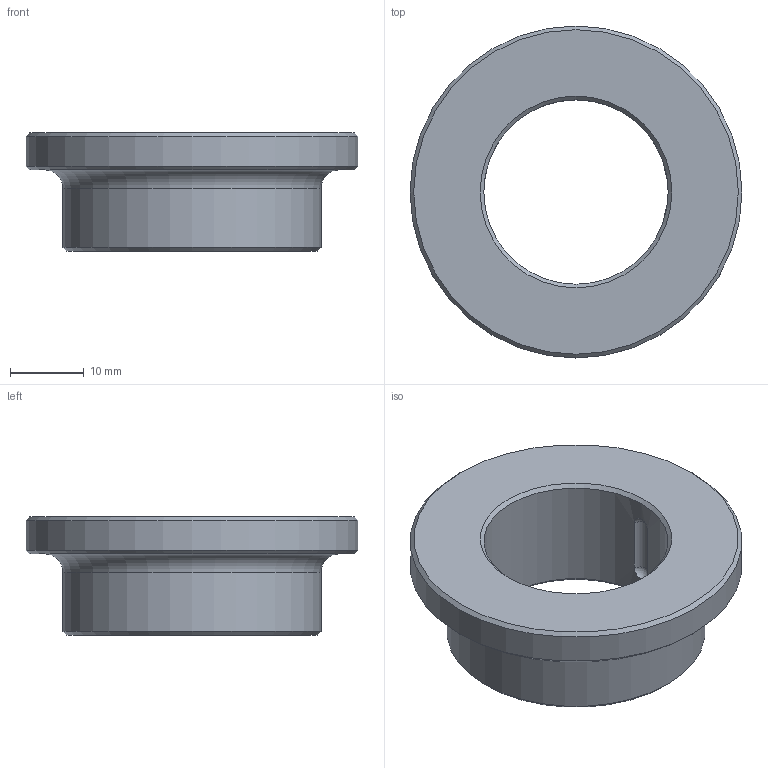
import cadquery as cq
import math

flange_diameter = 45.0
sleeve_diameter = 35.0
bore_diameter = 25.0
total_height = 16.0
flange_thickness = 5.0
edge_chamfer = 0.5
neck_fillet_radius = 2.5

groove_diameter = 2.5
groove_depth = 1.0
groove_length = 10.0
groove_middle_height = total_height / 2

flange_radius = flange_diameter / 2
sleeve_radius = sleeve_diameter / 2
bore_radius = bore_diameter / 2
flange_bottom = total_height - flange_thickness


def make_bushing():
    """Revolve the half section: chamfered edges and a concave blend under the flange."""
    neck_centre_radius = sleeve_radius + neck_fillet_radius
    neck_centre_height = flange_bottom - neck_fillet_radius
    arc_offset = neck_fillet_radius * math.sqrt(0.5)
    arc_middle = (neck_centre_radius - arc_offset, neck_centre_height + arc_offset)

    section = (
        cq.Workplane("XZ")
        .moveTo(bore_radius + edge_chamfer, 0)
        .lineTo(sleeve_radius - edge_chamfer, 0)
        .lineTo(sleeve_radius, edge_chamfer)
        .lineTo(sleeve_radius, neck_centre_height)
        .threePointArc(arc_middle, (neck_centre_radius, flange_bottom))
        .lineTo(flange_radius - edge_chamfer, flange_bottom)
        .lineTo(flange_radius, flange_bottom + edge_chamfer)
        .lineTo(flange_radius, total_height - edge_chamfer)
        .lineTo(flange_radius - edge_chamfer, total_height)
        .lineTo(bore_radius + edge_chamfer, total_height)
        .lineTo(bore_radius, total_height - edge_chamfer)
        .lineTo(bore_radius, edge_chamfer)
        .close()
    )
    return section.revolve(360, (0, 0), (0, 1))


def make_groove_cutter():
    """Upright rod with hemispherical ends, sunk into the bore wall on the +X side."""
    end_radius = groove_diameter / 2
    straight_length = groove_length - groove_diameter
    half_length = straight_length / 2
    axis_offset = bore_radius + groove_depth - end_radius
    middle = cq.Workplane("XY", origin=(axis_offset, 0, groove_middle_height))
    cutter = middle.circle(end_radius).extrude(half_length, both=True)
    for end_height in (-half_length, half_length):
        cutter = cutter.union(middle.workplane(offset=end_height).sphere(end_radius))
    return cutter


result = make_bushing().cut(make_groove_cutter())